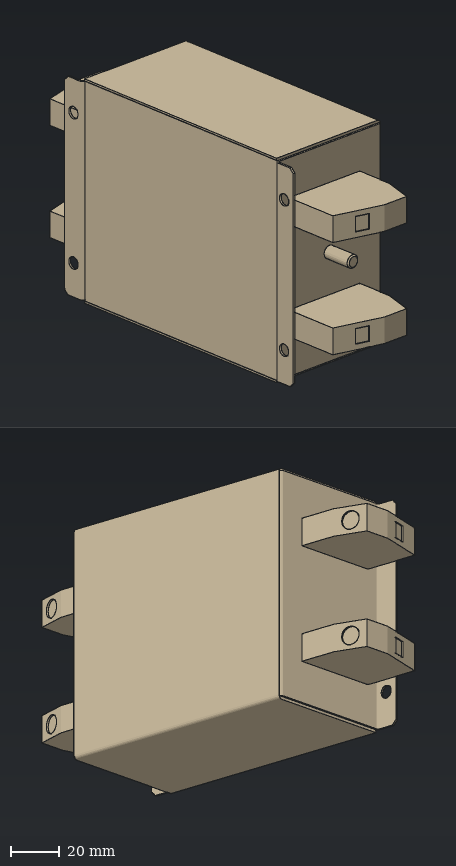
import cadquery as cq
import math

sheet = 1.0
bend_radius = 2 * sheet
depth = 60.0
height = 100.0
back_y = depth / 2
flange_y = -depth / 2
channel_half_width = 58.0
cover_half_width = channel_half_width - sheet
channel_height = 97.5
front_y = flange_y + sheet
panel_recess = 0.2

flange_half_span = 67.9
flange_chamfer = 2.0
hole_diameter = 5.5
hole_half_pitch_x = 62.5
hole_pitch_z = 67.0

block_tip_x = 90.3
block_back_y = 17.2
block_front_y = -23.0
block_height = 12.0
block_pitch = 50.0
tip_back_y = 13.0
tip_front_y = 0.4
back_slope_run = 14.6
front_slope_run = 6.3
window_height = 6.9
window_length = 6.3
window_y = -9.5
window_depth = 0.5
screw_diameter = 8.0
screw_depth = 0.9

stud_diameter = 6.0
stud_tip_x = 72.2
stud_chamfer = 0.63


def slab(half_width, y_min, y_max, z_size):
    """Block centred on X and Z between two Y planes."""
    return (
        cq.Workplane("XY")
        .box(2 * half_width, y_max - y_min, z_size)
        .translate((0, (y_min + y_max) / 2, 0))
    )


def make_enclosure():
    wall_y = flange_y + bend_radius
    cover_gap = (height - channel_height) / 2
    channel = slab(channel_half_width, wall_y, back_y, channel_height)
    channel = channel.edges("|Z and >Y").fillet(bend_radius)
    back_rounding = slab(channel_half_width, wall_y, back_y, channel_height)
    back_rounding = back_rounding.edges("|X and >Y").fillet(bend_radius - cover_gap)
    channel = channel.intersect(back_rounding)

    cover = slab(cover_half_width, front_y, back_y, height)
    cover = cover.edges("|X and >Y").fillet(bend_radius)
    recess = slab(cover_half_width, front_y, front_y + panel_recess, height - 2 * sheet)
    return channel.union(cover.cut(recess))


def make_flange():
    """Bent lip on the +X side: quarter-round bend, then a flat drilled flange."""
    bend_x = cover_half_width + bend_radius
    bend_y = flange_y + bend_radius
    inner_radius = bend_radius - sheet
    diagonal = math.sqrt(0.5)
    lip = (
        cq.Workplane("XY")
        .moveTo(cover_half_width, bend_y)
        .threePointArc(
            (bend_x - bend_radius * diagonal, bend_y - bend_radius * diagonal),
            (bend_x, flange_y),
        )
        .lineTo(flange_half_span, flange_y)
        .lineTo(flange_half_span, flange_y + sheet)
        .lineTo(bend_x, flange_y + sheet)
        .threePointArc(
            (bend_x - inner_radius * diagonal, bend_y - inner_radius * diagonal),
            (channel_half_width, bend_y),
        )
        .close()
        .extrude(channel_height / 2, both=True)
    )
    lip = lip.edges("|Y and >X").chamfer(flange_chamfer)
    holes = (
        cq.Workplane("XZ", origin=(hole_half_pitch_x, 0, 0))
        .pushPoints([(0, -hole_pitch_z / 2), (0, hole_pitch_z / 2)])
        .circle(hole_diameter / 2)
        .extrude(depth)
    )
    return lip.cut(holes)


def make_block():
    """Terminal block on the +X side, centred on Z = 0."""
    block = (
        cq.Workplane("XY")
        .polyline([
            (0, block_front_y),
            (block_tip_x - front_slope_run, block_front_y),
            (block_tip_x, tip_front_y),
            (block_tip_x, tip_back_y),
            (block_tip_x - back_slope_run, block_back_y),
            (0, block_back_y),
        ])
        .close()
        .extrude(block_height / 2, both=True)
    )

    slope_drop = tip_front_y - block_front_y
    window_x = block_tip_x - front_slope_run * (tip_front_y - window_y) / slope_drop
    window_plane = cq.Plane(
        origin=(window_x, window_y, 0),
        xDir=(0, 0, 1),
        normal=(slope_drop, -front_slope_run, 0),
    )
    window = cq.Workplane(window_plane).rect(window_height, window_length).extrude(-window_depth)

    screw_plane = cq.Plane(
        origin=(block_tip_x - back_slope_run / 2, (tip_back_y + block_back_y) / 2, 0),
        xDir=(0, 0, 1),
        normal=(block_back_y - tip_back_y, back_slope_run, 0),
    )
    screw = cq.Workplane(screw_plane).circle(screw_diameter / 2).extrude(-screw_depth)
    return block.cut(window).cut(screw)


def make_stud():
    return (
        cq.Workplane("YZ")
        .circle(stud_diameter / 2)
        .extrude(stud_tip_x)
        .faces(">X")
        .chamfer(stud_chamfer)
    )


flange = make_flange()
block = make_block()

result = make_enclosure().union(make_stud())
result = result.union(flange).union(flange.mirror("YZ"))
for block_z in (-block_pitch / 2, block_pitch / 2):
    right_block = block.translate((0, 0, block_z))
    result = result.union(right_block).union(right_block.mirror("YZ"))